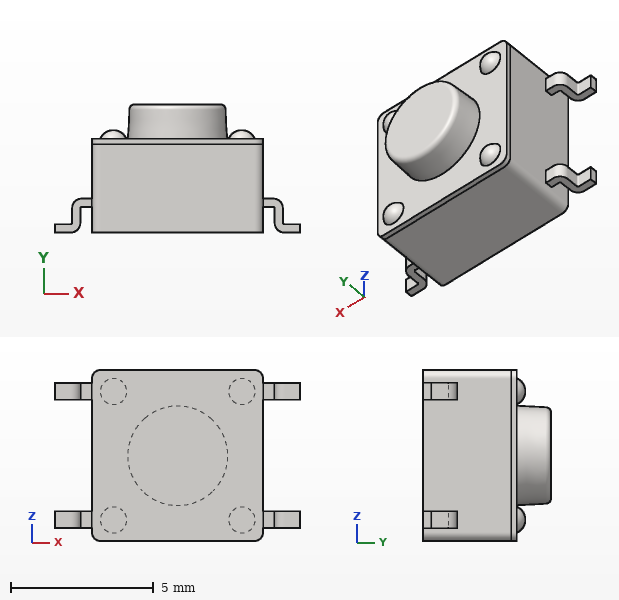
import cadquery as cq
import math


case_side = 6.0
corner_radius = 0.3
case_height = 3.3
cover_thickness = 0.2
housing_height = case_height - cover_thickness

total_height = 4.5
button_base_radius = 1.75
button_taper_angle = 3
button_edge_radius = 0.2
button_height = total_height - case_height

rivet_radius = 0.5
rivet_offset = 2.25

lead_span = 8.6
lead_width = 0.6
lead_thickness = 0.3
lead_top = 1.2
lead_shin_outer_x = 3.7
lead_offset = 2.25
bend_inner_radius = 0.05
bend_outer_radius = bend_inner_radius + lead_thickness


def plate(bottom, height):
    """Square slab with rounded corners, from Y = bottom up to Y = bottom + height."""
    return (
        cq.Workplane("XY")
        .box(case_side, height, case_side)
        .edges("|Y")
        .fillet(corner_radius)
        .translate((0, bottom + height / 2, 0))
    )


def make_button():
    """Slightly tapered round button with a rounded top edge, standing on the cover."""
    taper = math.tan(math.radians(button_taper_angle))
    button_top_radius = button_base_radius - button_height * taper
    return (
        cq.Workplane("YZ")
        .moveTo(case_height, 0)
        .lineTo(case_height, button_base_radius)
        .lineTo(total_height, button_top_radius)
        .lineTo(total_height, 0)
        .close()
        .revolve(360, (0, 0, 0), (1, 0, 0))
        .faces(">Y")
        .edges()
        .fillet(button_edge_radius)
    )


def make_rivet_head(x, z):
    """Spherical dome reaching from the underside of the cover to above its top face."""
    sphere = cq.Workplane("XY").sphere(rivet_radius)
    upper_half = (
        cq.Workplane("XY")
        .box(2 * rivet_radius, rivet_radius, 2 * rivet_radius)
        .translate((0, rivet_radius / 2, 0))
    )
    return sphere.intersect(upper_half).translate((x, housing_height, z))


def make_cover():
    """Cover plate carrying the button and a rivet head near each corner."""
    body = plate(housing_height, cover_thickness).union(make_button())
    for x in (-rivet_offset, rivet_offset):
        for z in (-rivet_offset, rivet_offset):
            body = body.union(make_rivet_head(x, z))
    return body


def make_lead(side, z):
    """Z-bent lead from the housing wall down to a foot on the mounting plane; side is -1 or 1 in X."""
    wall_x = case_side / 2
    tip_x = lead_span / 2
    shin_inner_x = lead_shin_outer_x - lead_thickness
    blank = (
        cq.Workplane("XY")
        .workplane(offset=z - lead_width / 2)
        .moveTo(side * wall_x, lead_top)
        .lineTo(side * lead_shin_outer_x, lead_top)
        .lineTo(side * lead_shin_outer_x, lead_thickness)
        .lineTo(side * tip_x, lead_thickness)
        .lineTo(side * tip_x, 0)
        .lineTo(side * shin_inner_x, 0)
        .lineTo(side * shin_inner_x, lead_top - lead_thickness)
        .lineTo(side * wall_x, lead_top - lead_thickness)
        .close()
        .extrude(lead_width)
    )
    outer_corners = ((lead_shin_outer_x, lead_top), (shin_inner_x, 0))
    inner_corners = (
        (lead_shin_outer_x, lead_thickness),
        (shin_inner_x, lead_top - lead_thickness),
    )
    for corners, radius in ((outer_corners, bend_outer_radius), (inner_corners, bend_inner_radius)):
        for x, y in corners:
            blank = blank.edges(cq.NearestToPointSelector((side * x, y, z))).fillet(radius)
    return blank


housing = plate(0, housing_height)
cover = make_cover()

leads = []
for side in (-1, 1):
    for z in (-lead_offset, lead_offset):
        leads.append(make_lead(side, z).solids().val())

result = cq.Compound.makeCompound([housing.solids().val(), cover.solids().val(), *leads])